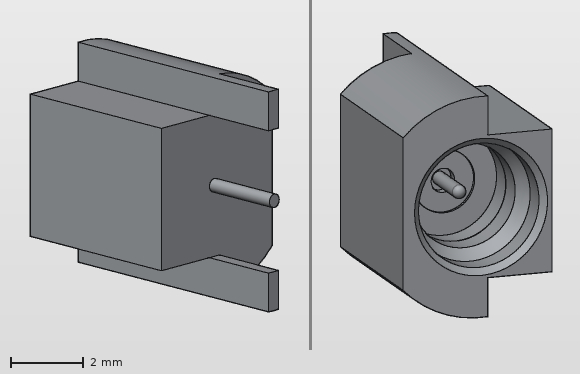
import cadquery as cq
import math

body_length = 5.1
round_radius = 3.175
back_y = 2.3
front_y = -2.1
block_half_height = 2.05

leg_end_x = 7.4
leg_half_width = 0.2

mouth_radius = 1.965
entry_radius = 1.78
bore_radius = 1.5
mouth_chamfer_depth = mouth_radius - entry_radius
taper_start_x = 0.9
taper_end_x = 1.35
floor_x = 3.0

lip_x = 2.12
flare_length = 0.1
chamber_radius = 1.55

insulator_radius = 0.905
insulator_recess_depth = 0.1
clearance_radius = 0.345
clearance_depth = 0.3

pin_radius = 0.195
pin_tip_x = 1.6
pin_end_x = 7.43


def revolve_about_x(profile):
    """Turn a closed XY profile that touches the X axis into a solid of revolution."""
    return profile.close().revolve(360, (0, 0, 0), (1, 0, 0))


def cylinder_on_axis(start_x, end_x, radius):
    return cq.Workplane("YZ", origin=(start_x, 0, 0)).circle(radius).extrude(end_x - start_x)


def bar_along_x(length, y_min, y_max, half_height):
    """Rectangular bar from X = 0, centred on the axis in Z."""
    section = cq.Workplane("YZ").center((y_min + y_max) / 2, 0)
    return section.rect(y_max - y_min, 2 * half_height).extrude(length)


def make_housing():
    """Round back portion, cut flat at the rear, with a narrower block at its front."""
    round_part = cylinder_on_axis(0, body_length, round_radius)
    back_slab = bar_along_x(body_length, -leg_half_width, back_y, round_radius)
    block = bar_along_x(body_length, front_y, back_y, block_half_height)
    return round_part.intersect(back_slab).union(block)


def make_legs():
    """Top and bottom blades, rounded outside to match the housing."""
    blade = bar_along_x(leg_end_x, -leg_half_width, leg_half_width, round_radius)
    gap = bar_along_x(leg_end_x, -leg_half_width, leg_half_width, block_half_height)
    return cylinder_on_axis(0, leg_end_x, round_radius).intersect(blade).cut(gap)


def make_socket():
    """Chamfered, tapered bore with a wider chamber behind the detent lip and a stepped floor."""
    bore = revolve_about_x(
        cq.Workplane("XY")
        .moveTo(0, 0)
        .lineTo(0, mouth_radius)
        .lineTo(mouth_chamfer_depth, entry_radius)
        .lineTo(taper_start_x, entry_radius)
        .lineTo(taper_end_x, bore_radius)
        .lineTo(lip_x, bore_radius)
        .lineTo(lip_x + flare_length, chamber_radius)
        .lineTo(floor_x, chamber_radius)
        .lineTo(floor_x, 0)
    )
    insulator_x = floor_x + insulator_recess_depth
    insulator_recess = cylinder_on_axis(floor_x, insulator_x, insulator_radius)
    clearance = cylinder_on_axis(insulator_x, insulator_x + clearance_depth, clearance_radius)
    return bore.union(insulator_recess).union(clearance)


def make_pin():
    """Straight pin through the housing, with a hemispherical tip in the socket."""
    shoulder_x = pin_tip_x + pin_radius
    dome_offset = pin_radius * math.sqrt(0.5)
    return revolve_about_x(
        cq.Workplane("XY")
        .moveTo(pin_tip_x, 0)
        .threePointArc((shoulder_x - dome_offset, dome_offset), (shoulder_x, pin_radius))
        .lineTo(pin_end_x, pin_radius)
        .lineTo(pin_end_x, 0)
    )


result = make_housing().union(make_legs()).cut(make_socket()).union(make_pin())